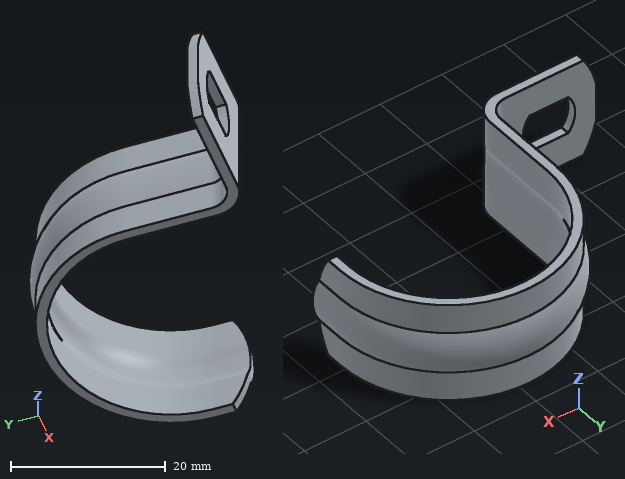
import cadquery as cq
import math

thickness = 1.5
width = 16.0
outer_radius = 17.5
inner_radius = outer_radius - thickness
foot_face_y = -16.5
foot_tip_x = -35.2
strap_end_y = -4.9
bend_radius = 3.0
outer_bend_radius = 4.2
foot_back_y = foot_face_y + thickness
bend_y = foot_back_y + bend_radius
bend_x = -outer_radius - bend_radius
outer_bend_x = -inner_radius - outer_bend_radius
outer_bend_y = foot_face_y + outer_bend_radius
diagonal = math.sqrt(0.5)

bead_rise = 0.85
bead_half_width = 3.3
bead_radius = (bead_half_width**2 + bead_rise**2) / (2 * bead_rise)
toe_burial = 0.55
groove_edge_radius = 2.0
groove_radius = bead_radius - groove_edge_radius
groove_bottom = outer_radius + bead_rise - thickness
groove_half_width = math.sqrt(groove_radius**2 - (groove_radius - bead_rise) ** 2)

foot_tip_half_flat = 3.3
foot_tip_radius = 15.0
strap_end_half_flat = 2.35
strap_end_radius = 15.0
cut_reach = outer_radius

hole_x = foot_tip_x + 7.6
hole_length = 8.45
hole_height = 6.0
hole_side_rise = 1.1


def make_strap():
    """Constant-section strap: foot, bend, straight leg, half ring and free leg."""
    return (
        cq.Workplane("XY", origin=(0, 0, -width / 2))
        .moveTo(foot_tip_x, foot_face_y)
        .lineTo(outer_bend_x, foot_face_y)
        .threePointArc(
            (
                outer_bend_x + outer_bend_radius * diagonal,
                outer_bend_y - outer_bend_radius * diagonal,
            ),
            (-inner_radius, outer_bend_y),
        )
        .lineTo(-inner_radius, 0)
        .threePointArc((0, inner_radius), (inner_radius, 0))
        .lineTo(inner_radius, strap_end_y)
        .lineTo(outer_radius, strap_end_y)
        .lineTo(outer_radius, 0)
        .threePointArc((0, outer_radius), (-outer_radius, 0))
        .lineTo(-outer_radius, bend_y)
        .threePointArc(
            (bend_x + bend_radius * diagonal, bend_y - bend_radius * diagonal),
            (bend_x, foot_back_y),
        )
        .lineTo(foot_tip_x, foot_back_y)
        .close()
        .extrude(width)
    )


def bead_section(side, base, crest, half_width):
    """Arched section in the XZ plane, on the left (-1) or free (+1) leg."""
    return (
        cq.Workplane("XZ")
        .moveTo(side * base, -half_width)
        .threePointArc((side * crest, 0), (side * base, half_width))
        .close()
    )


def sweep_along_strap(base, crest, half_width, left_leg_end_y):
    """Carry an arched section down the left leg, round the ring and down the free leg."""
    left_leg = bead_section(-1, base, crest, half_width).extrude(-left_leg_end_y)
    free_leg = bead_section(1, base, crest, half_width).extrude(-strap_end_y)
    ring = cq.Workplane(
        cq.Solid.revolve(
            bead_section(1, base, crest, half_width).wires().val(),
            [],
            180,
            cq.Vector(0, 0, 0),
            cq.Vector(0, 0, 1),
        )
    )
    return left_leg.union(ring).union(free_leg)


def make_bead_toe():
    """Turn the bead through the bend so that its crest runs tangent into the foot's back."""
    axis_x = -outer_radius - bead_rise - bend_radius
    root_depth = bead_rise + toe_burial
    root_half_width = math.sqrt(bead_radius**2 - (bead_radius - root_depth) ** 2)
    root = bend_radius + root_depth
    return (
        cq.Workplane("XZ", origin=(axis_x, bend_y, 0))
        .moveTo(root, -root_half_width)
        .threePointArc((bend_radius, 0), (root, root_half_width))
        .close()
        .revolve(90, (0, 0, 0), (0, -1, 0))
    )


def round_groove_edges(body):
    """Round the mouth of the groove, including its run-out across the bend."""
    selection_margin = 0.05
    reach = groove_half_width + selection_margin
    mouth = cq.selectors.BoxSelector(
        (-groove_bottom - selection_margin, foot_face_y, -reach),
        (inner_radius + selection_margin, inner_radius + selection_margin, reach),
        boundingbox=True,
    )
    return body.edges(mouth).fillet(groove_edge_radius)


def corner_waste(plane, half_flat, corner_radius):
    """Waste at both corners of an end whose tip is the plane's origin, part towards local +X."""
    centre_x = math.sqrt(corner_radius**2 - half_flat**2)

    def on_arc(height):
        return (centre_x - math.sqrt(corner_radius**2 - height**2), height)

    half_width = width / 2
    upper = (
        cq.Workplane(plane)
        .moveTo(*on_arc(half_flat))
        .threePointArc(on_arc((half_flat + half_width) / 2), on_arc(half_width))
        .lineTo(0, half_width)
        .close()
        .extrude(cut_reach, both=True)
    )
    return upper.union(upper.mirror("XY"))


def make_hole():
    """Cutter for the screw hole, through the thickness of the foot."""
    half_length = hole_length / 2
    half_height = hole_height / 2
    half_flat = half_length - hole_side_rise
    return (
        cq.Workplane("XZ", origin=(hole_x, foot_back_y, 0))
        .moveTo(-half_flat, -half_height)
        .lineTo(half_flat, -half_height)
        .threePointArc((half_length, 0), (half_flat, half_height))
        .lineTo(-half_flat, half_height)
        .threePointArc((-half_length, 0), (-half_flat, -half_height))
        .close()
        .extrude(thickness)
    )


bead = sweep_along_strap(outer_radius, outer_radius + bead_rise, bead_half_width, bend_y)
groove = sweep_along_strap(inner_radius, groove_bottom, groove_half_width, foot_face_y)
body = make_strap().union(bead).union(make_bead_toe()).cut(groove)
body = round_groove_edges(body)

foot_tip = cq.Plane(origin=(foot_tip_x, 0, 0), xDir=(1, 0, 0), normal=(0, -1, 0))
free_end = cq.Plane(origin=(outer_radius, strap_end_y, 0), xDir=(0, 1, 0), normal=(1, 0, 0))
body = body.cut(corner_waste(foot_tip, foot_tip_half_flat, foot_tip_radius))
body = body.cut(corner_waste(free_end, strap_end_half_flat, strap_end_radius))
result = body.cut(make_hole())